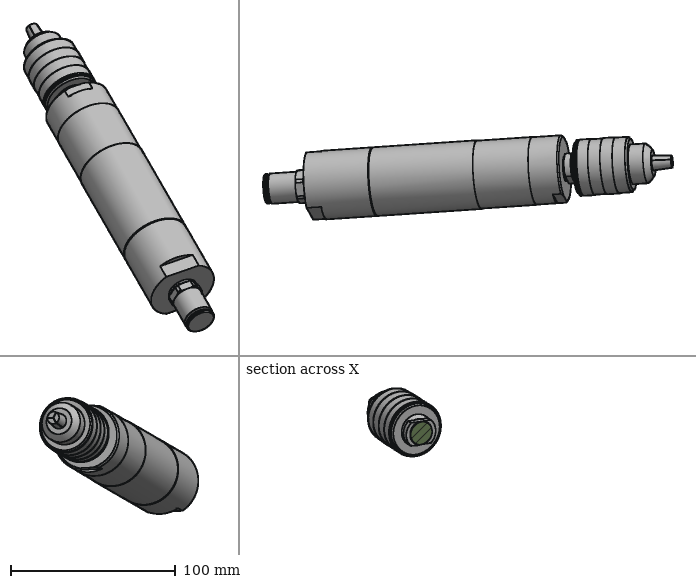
import cadquery as cq
import math


total_length = 251.5
nose_start = 11.5
collar_start = 24.7
chuck_back = 58.5
neck_start = 61.0
wrench_disk_end = 65.0
body_start = 66.2
front_flat_end = 72.2
collar_end = 85.0
front_body_end = 119.2
body_groove_start = 183.6
rear_flat_start = 215.0
body_end = 224.1
nut_start = 226.1
nut_end = 231.5
barrel_end = 248.0

tip_diameter = 7.5
tip_root_diameter = 9.3
slot_width = 0.3
slot_count = 3
first_slot_angle = 30.0

nose_face_diameter = 16.0
nose_diameter = 24.5
nose_length = 4.0
nose_bulge = 0.3
chuck_diameter = 34.0
band_diameter = 34.5
front_band_start = 33.7
front_band_end = 41.3
rear_band_start = 48.8
rim_length = 1.3
rim_face_diameter = 31.2
rim_root_diameter = 33.0
chuck_groove_start = 55.5
chuck_groove_end = 57.4
chuck_groove_depth = 0.5

back_cone_diameter = 20.0
neck_diameter = 14.8
wrench_disk_diameter = 19.9

body_diameter = 42.0
front_body_diameter = 41.5
collar_diameter = 41.3
front_face_diameter = 39.0
front_chamfer_length = 1.0
front_flat_width = 38.0
rear_flat_width = 36.0
body_groove_width = 0.5
body_groove_depth = 0.3

stem_diameter = 18.0
nut_across_flats = 18.5
nut_corner_diameter = 20.5
nut_chamfer = 0.5
barrel_diameter = 18.5
post_diameter = 13.0
end_ring_length = 2.3
end_ring_diameter = 18.4
end_ring_chamfer = 0.8


def cylinder(start, end, diameter):
    return cq.Workplane("YZ").workplane(offset=start).circle(diameter / 2).extrude(end - start)


def tube(start, end, outer_diameter, inner_diameter):
    return cylinder(start, end, outer_diameter).cut(cylinder(start, end, inner_diameter))


def cone(start, start_diameter, end, end_diameter):
    outline = [(start, 0), (start, start_diameter / 2), (end, end_diameter / 2), (end, 0)]
    return cq.Workplane("XY").polyline(outline).close().revolve(360, (0, 0, 0), (1, 0, 0))


def trim_to_flats(shape, start, end, width):
    """Cut two flats facing +Z and -Z on a round stretch."""
    slab = cq.Workplane("XY").box(end - start, 2 * body_diameter, width)
    return shape.intersect(slab.translate(((start + end) / 2, 0, 0)))


def collet_tip():
    """Tapered tip split into equal jaws by slots that meet on the axis."""
    tip = cone(0, tip_diameter, nose_start, tip_root_diameter)
    slot = cq.Workplane("XY").box(
        nose_start, slot_width, tip_root_diameter, centered=(False, True, False)
    )
    for i in range(slot_count):
        angle = first_slot_angle + i * 360 / slot_count
        tip = tip.cut(slot.rotate((0, 0, 0), (1, 0, 0), angle))
    return tip


def nose():
    """Chuck nose with a slightly rounded front shoulder."""
    face_radius = nose_face_diameter / 2
    radius = nose_diameter / 2
    shoulder_end = nose_start + nose_length
    shoulder_middle = (
        nose_start + nose_length / 2 - nose_bulge,
        (face_radius + radius) / 2 + nose_bulge,
    )
    outline = (
        cq.Workplane("XY")
        .moveTo(nose_start, 0)
        .lineTo(nose_start, face_radius)
        .threePointArc(shoulder_middle, (shoulder_end, radius))
        .lineTo(collar_start, radius)
        .lineTo(collar_start, 0)
        .close()
    )
    return outline.revolve(360, (0, 0, 0), (1, 0, 0))


def chuck():
    """Chuck sleeve with two raised bands, tapered rims and a V-groove near its back."""
    sleeve_front = collar_start + rim_length
    sleeve_back = chuck_back - rim_length
    groove_middle = (chuck_groove_start + chuck_groove_end) / 2
    groove = (
        cq.Workplane("XY")
        .moveTo(chuck_groove_start, band_diameter / 2)
        .lineTo(groove_middle, band_diameter / 2 - chuck_groove_depth)
        .lineTo(chuck_groove_end, band_diameter / 2)
        .close()
        .revolve(360, (0, 0, 0), (1, 0, 0))
    )
    return (
        cone(collar_start, rim_face_diameter, sleeve_front, rim_root_diameter)
        .union(cylinder(sleeve_front, sleeve_back, chuck_diameter))
        .union(cone(sleeve_back, rim_root_diameter, chuck_back, rim_face_diameter))
        .union(cylinder(front_band_start, front_band_end, band_diameter))
        .union(cylinder(rear_band_start, sleeve_back, band_diameter))
        .cut(groove)
    )


def neck():
    """45-degree cone behind the chuck, wrench disk with two flats, and a short neck."""
    cone_end_diameter = back_cone_diameter - 2 * (neck_start - chuck_back)
    back_cone = cone(chuck_back, back_cone_diameter, neck_start, cone_end_diameter)
    disk = cylinder(neck_start, wrench_disk_end, wrench_disk_diameter)
    disk = trim_to_flats(disk, neck_start, wrench_disk_end, neck_diameter)
    return back_cone.union(disk).union(cylinder(wrench_disk_end, body_start, neck_diameter))


def body():
    """Motor housing stepping up towards the back, with wrench flats at both ends."""
    chamfer_end = body_start + front_chamfer_length
    front = cone(body_start, front_face_diameter, chamfer_end, collar_diameter)
    front = front.union(cylinder(chamfer_end, front_flat_end, collar_diameter))
    front = trim_to_flats(front, body_start, front_flat_end, front_flat_width)

    middle = (
        cylinder(front_flat_end, collar_end, collar_diameter)
        .union(cylinder(collar_end, front_body_end, front_body_diameter))
        .union(cylinder(front_body_end, rear_flat_start, body_diameter))
    )
    groove_end = body_groove_start + body_groove_width
    groove_diameter = body_diameter - 2 * body_groove_depth
    middle = middle.cut(tube(body_groove_start, groove_end, body_diameter, groove_diameter))

    rear = cylinder(rear_flat_start, body_end, body_diameter)
    rear = trim_to_flats(rear, rear_flat_start, body_end, rear_flat_width)
    return front.union(middle).union(rear)


def fitting():
    """Air fitting: stem, hexagon nut with rounded-off corners, barrel, post and end ring."""
    nut_corners = nut_across_flats / math.cos(math.pi / 6)
    hexagon = cq.Workplane("YZ").workplane(offset=nut_start)
    hexagon = hexagon.polygon(6, nut_corners).extrude(nut_end - nut_start)
    nut = cylinder(nut_start, nut_end, nut_corner_diameter).faces("<X or >X").chamfer(nut_chamfer)
    nut = nut.intersect(hexagon)

    end_ring = cylinder(total_length - end_ring_length, total_length, end_ring_diameter)
    end_ring = end_ring.faces("<X or >X").chamfer(end_ring_chamfer)
    return (
        cylinder(body_end, nut_start, stem_diameter)
        .union(nut)
        .union(cylinder(nut_end, barrel_end, barrel_diameter))
        .union(cylinder(barrel_end, total_length, post_diameter))
        .union(end_ring)
    )


result = collet_tip()
for section in (nose(), chuck(), neck(), body(), fitting()):
    result = result.union(section)